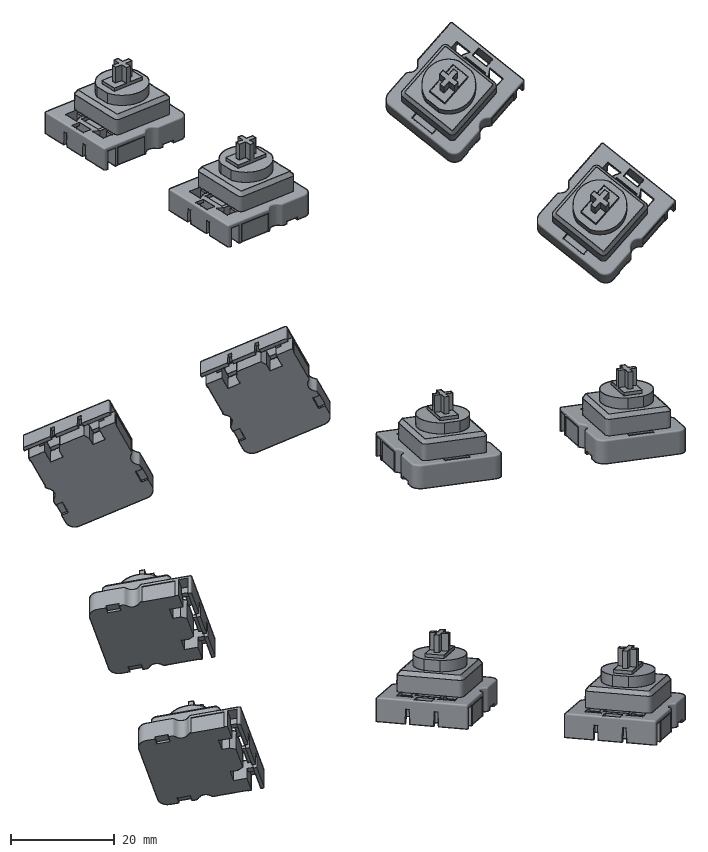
import cadquery as cq
import math

SWITCH_PITCH = 38.1

BASE_WIDTH = 18.6
BASE_FRONT_Y = -11.8
BASE_BACK_Y = 9.0
BASE_HEIGHT = 4.8
BACK_CORNER_RADIUS = 2.0
EDGE_ROUND = 0.35

SCALLOP_ARC_HALF_WIDTH = 1.1
SCALLOP_DEPTH = 1.0
FLANK_ANGLE = math.radians(45)
SCALLOP_MOUTH_ROUND = 0.55

PLATE_THICKNESS = 0.75
FRONT_WALL = 0.75
CHANNEL_BACK_Y = -9.2
PLATE_UNDERSIDE = BASE_HEIGHT - PLATE_THICKNESS
CHANNEL_FRONT_Y = BASE_FRONT_Y + FRONT_WALL
CENTRE_OPENING_WIDTH = 3.5

WEB_BOTTOM = 2.6
WEB_THICKNESS = 1.0

WINDOW_OUTER_X = 5.85
WINDOW_FRONT_Y = -9.35
TONGUE_HALF_WIDTH = 3.25
TONGUE_TIP_HALF_WIDTH = 2.5

SLOT_CENTRE_X = 2.9
SLOT_HEIGHT = 2.95
SLOT_TOP_WIDTH = 0.75
SLOT_BOTTOM_WIDTH = 0.95

POCKET_WIDTH = 5.1
POCKET_REACH = 8.05

UNDERCUT_REACH = 5.95
WINDOW_BACK_Y = -6.5

PANEL_DEPTH = 0.1
PANEL_FRONT_Y = -8.5
PANEL_BACK_Y = -1.9
PANEL_TOP = 3.95
FOOT_NOTCH_FRONT_Y = 2.65
FOOT_NOTCH_BACK_Y = 5.3
FOOT_NOTCH_HEIGHT = 0.55
FOOT_NOTCH_DEPTH = 1.4

UPPER_WIDTH = 13.5
UPPER_DEPTH = 13.65
UPPER_TOP = 9.1
UPPER_CORNER_RADIUS = 0.9
UPPER_CHAMFER_RUN = 0.7
UPPER_CHAMFER_DROP = 0.85

DRUM_DIAMETER = 10.45
DRUM_DEPTH = 9.9
DRUM_TOP = 11.35
PAD_WIDTH = 3.8
PAD_DEPTH = 7.0
PAD_TOP = 12.0
CROSS_DEPTH = 4.1
CROSS_ARM = 1.0
STEM_TOP = 15.55

SIDES = (-1, 1)


def block(x_range, y_range, z_range):
    """Box between the given limits, each pair in either order."""
    (x0, x1), (y0, y1), (z0, z1) = (sorted(pair) for pair in (x_range, y_range, z_range))
    return cq.Workplane("XY").box(x1 - x0, y1 - y0, z1 - z0, centered=False).translate((x0, y0, z0))


def base_shell():
    """Rounded outer shape of the base with its two side scallops."""
    half = BASE_WIDTH / 2
    shell = block((-half, half), (BASE_FRONT_Y, BASE_BACK_Y), (0, BASE_HEIGHT))
    shell = shell.edges("|Z and >Y").fillet(BACK_CORNER_RADIUS)
    shell = shell.edges("|Z and <Y").fillet(EDGE_ROUND)
    arc_depth = SCALLOP_ARC_HALF_WIDTH * math.tan(FLANK_ANGLE / 2)
    flank_depth = SCALLOP_DEPTH - arc_depth
    half_mouth = SCALLOP_ARC_HALF_WIDTH + flank_depth / math.tan(FLANK_ANGLE)
    for side in SIDES:
        scallop = (
            cq.Workplane("XY")
            .moveTo(side * half, -half_mouth)
            .lineTo(side * (half - flank_depth), -SCALLOP_ARC_HALF_WIDTH)
            .threePointArc(
                (side * (half - SCALLOP_DEPTH), 0),
                (side * (half - flank_depth), SCALLOP_ARC_HALF_WIDTH),
            )
            .lineTo(side * half, half_mouth)
            .close()
            .extrude(BASE_HEIGHT)
        )
        shell = shell.cut(scallop)
    for side in SIDES:
        for end in SIDES:
            mouth = cq.selectors.NearestToPointSelector((side * half, end * half_mouth, BASE_HEIGHT / 2))
            shell = shell.edges(mouth).fillet(SCALLOP_MOUTH_ROUND)
    return shell.faces(">Z").edges().fillet(EDGE_ROUND)


def front_channel():
    """Space under the plate behind the front wall, with the hanging webs left standing."""
    half = BASE_WIDTH / 2
    y_range = (CHANNEL_FRONT_Y, CHANNEL_BACK_Y)
    channel = block((-half, half), y_range, (0, PLATE_UNDERSIDE))
    for side in SIDES:
        x_range = (side * WINDOW_OUTER_X, side * (WINDOW_OUTER_X + WEB_THICKNESS))
        channel = channel.cut(block(x_range, y_range, (WEB_BOTTOM, PLATE_UNDERSIDE)))
    return channel


def centre_opening():
    """Rectangular hole through the plate in front of the tongue."""
    half = CENTRE_OPENING_WIDTH / 2
    return block((-half, half), (CHANNEL_FRONT_Y, CHANNEL_BACK_Y), (0, BASE_HEIGHT))


def window(side):
    """Through window on one side of the tongue; the tongue narrows toward the front."""
    outline = [
        (side * WINDOW_OUTER_X, WINDOW_BACK_Y),
        (side * WINDOW_OUTER_X, WINDOW_FRONT_Y),
        (side * TONGUE_TIP_HALF_WIDTH, WINDOW_FRONT_Y),
        (side * TONGUE_HALF_WIDTH, -POCKET_REACH),
        (side * TONGUE_HALF_WIDTH, WINDOW_BACK_Y),
    ]
    opening = cq.Workplane("XY").polyline(outline).close().extrude(BASE_HEIGHT)
    undercut = block(
        (side * TONGUE_HALF_WIDTH, side * WINDOW_OUTER_X),
        (WINDOW_BACK_Y, -UNDERCUT_REACH),
        (PLATE_UNDERSIDE, BASE_HEIGHT),
    )
    return opening.union(undercut)


def front_slot(side):
    """Slot up from the bottom of the front wall, wider at the bottom."""
    outline = [
        (-SLOT_BOTTOM_WIDTH / 2, 0),
        (SLOT_BOTTOM_WIDTH / 2, 0),
        (SLOT_TOP_WIDTH / 2, SLOT_HEIGHT),
        (-SLOT_TOP_WIDTH / 2, SLOT_HEIGHT),
    ]
    slot = cq.Workplane("XZ").polyline(outline).close().extrude(-FRONT_WALL)
    return slot.translate((side * SLOT_CENTRE_X, BASE_FRONT_Y, 0))


def latch_pocket(end):
    """Pocket in the plate that reaches under the front or back face of the upper box."""
    half = POCKET_WIDTH / 2
    y_range = (end * UNDERCUT_REACH, end * POCKET_REACH)
    return block((-half, half), y_range, (PLATE_UNDERSIDE, BASE_HEIGHT))


def side_panel(side):
    """Shallow recess in the side face of the base."""
    outer = BASE_WIDTH / 2
    x_range = (side * (outer - PANEL_DEPTH), side * outer)
    return block(x_range, (PANEL_FRONT_Y, PANEL_BACK_Y), (0, PANEL_TOP))


def foot_notch(side):
    """Small notch in the bottom edge of the side face."""
    outer = BASE_WIDTH / 2
    x_range = (side * (outer - FOOT_NOTCH_DEPTH), side * outer)
    return block(x_range, (FOOT_NOTCH_FRONT_Y, FOOT_NOTCH_BACK_Y), (0, FOOT_NOTCH_HEIGHT))


def upper_box():
    """Box on top of the base, with rounded corners and a chamfered top."""
    box = block(
        (-UPPER_WIDTH / 2, UPPER_WIDTH / 2),
        (-UPPER_DEPTH / 2, UPPER_DEPTH / 2),
        (BASE_HEIGHT, UPPER_TOP),
    )
    box = box.edges("|Z").fillet(UPPER_CORNER_RADIUS)
    return box.faces(">Z").chamfer(UPPER_CHAMFER_DROP, UPPER_CHAMFER_RUN)


def make_housing():
    """Base and upper box as one body."""
    housing = base_shell().cut(front_channel()).cut(centre_opening())
    for side in SIDES:
        housing = housing.cut(window(side)).cut(front_slot(side)).cut(latch_pocket(side))
        housing = housing.cut(side_panel(side)).cut(foot_notch(side))
    return housing.union(upper_box())


def make_stem():
    """Drum with flat front and back, a pad on it and a cross on the pad."""
    radius = DRUM_DIAMETER / 2
    drum = cq.Workplane("XY").circle(radius).extrude(DRUM_TOP - UPPER_TOP).translate((0, 0, UPPER_TOP))
    flats = block((-radius, radius), (-DRUM_DEPTH / 2, DRUM_DEPTH / 2), (UPPER_TOP, DRUM_TOP))
    stem = drum.intersect(flats)
    for width, depth, bottom, top in (
        (PAD_WIDTH, PAD_DEPTH, DRUM_TOP, PAD_TOP),
        (PAD_WIDTH, CROSS_ARM, PAD_TOP, STEM_TOP),
        (CROSS_ARM, CROSS_DEPTH, PAD_TOP, STEM_TOP),
    ):
        stem = stem.union(block((-width / 2, width / 2), (-depth / 2, depth / 2), (bottom, top)))
    return stem


housing = make_housing()
stem = make_stem()
bodies = []
for side in SIDES:
    place = (side * SWITCH_PITCH / 2, 0, 0)
    bodies.append(housing.translate(place).val())
    bodies.append(stem.translate(place).val())

result = cq.Compound.makeCompound(bodies)